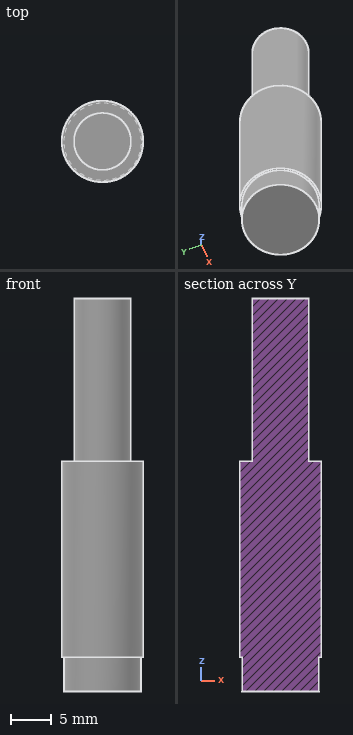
import cadquery as cq

total_length = 48.2
base_diameter = 9.5
body_diameter = 10.0
pin_diameter = 7.0
base_length = 4.2
pin_length = 19.95
body_length = total_length - base_length - pin_length

result = (
    cq.Workplane("XY")
    .circle(base_diameter / 2)
    .extrude(base_length)
    .faces(">Z")
    .workplane()
    .circle(body_diameter / 2)
    .extrude(body_length)
    .faces(">Z")
    .workplane()
    .circle(pin_diameter / 2)
    .extrude(pin_length)
)